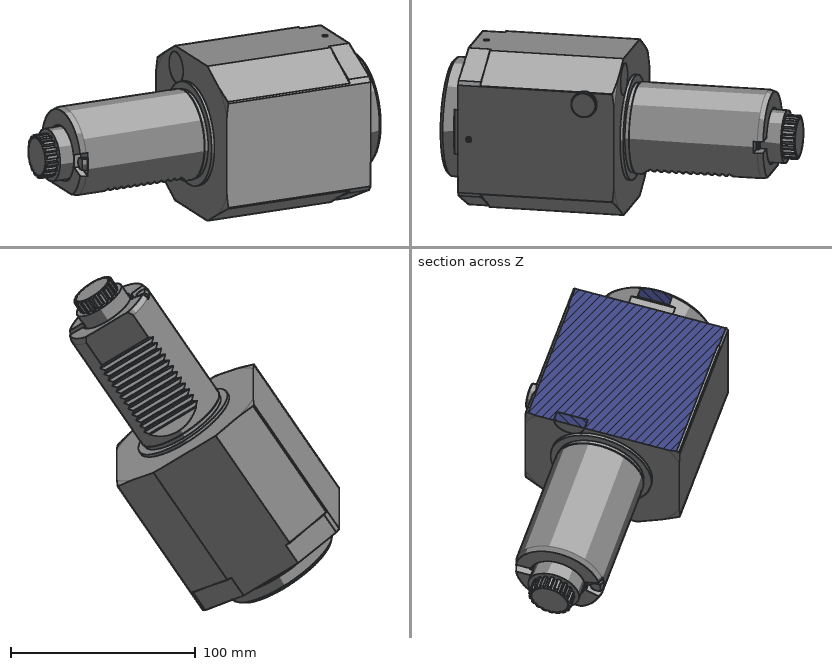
import cadquery as cq
import math


BLOCK_HEIGHT = 88.0
LEFT_FACE_X = -43.6
RIGHT_FACE_X = 44.0
BLOCK_LENGTH = 86.5
TURNED_RADIUS = 53.0
FRONT_TURNED_RADIUS = 49.2
FRONT_TAPER_LENGTH = 0.87
BODY_FLAT_HALF = 20.0
BODY_SLOPE = 30.0
REAR_FLAT_HALF = 17.5
REAR_SLOPE = 25.4
REAR_BAND_LENGTH = 12.3

PORT_DIAMETER = 1.7
PORT_SINK_DIAMETER = 3.0
PORT_DEPTH = 3.8
PORT_Y = 80.5

COLLAR_DIAMETER = 57.3
COLLAR_LENGTH = 1.7
NECK_RADIUS = 24.5
NECK_END = 4.0
SHANK_DIAMETER = 50.0
SHANK_LENGTH = 78.2
SHANK_TIP_RADIUS = 24.0
SHANK_TAPER_LENGTH = 3.0

FLAT_DEPTH_Z = 20.0
RAMP_START = 6.7
TOOTH_PITCH = 4.0
TOOTH_GROOVES = 12
TOOTH_GROOVE_DEPTH = 1.7
FIRST_TOOTH_GROOVE = 14.0

SEAT_DIAMETER = 30.8
SEAT_DEPTH = 3.7
SLOT_WIDTH = 6.3
SLOT_DEPTH = 5.2
SLOT_STEP_X = 17.7
SLOT_STEP_CHAMFER = 0.5
WEDGE_INNER_X = 16.0
WEDGE_INNER_HALF = 3.7
WEDGE_ANGLE = 20.0
WEDGE_DEPTH = 4.0

PIN_WIDTH = 6.3
PIN_X = 21.3
PIN_SETBACK = 1.2
PIN_END_RADIUS = 23.6
PIN_BEVEL_LENGTH = 2.3

SPINDLE_DIAMETER = 28.8
SPINDLE_LENGTH = 7.7
SPLINE_LENGTH = 7.1
SPLINE_ROOT_RADIUS = 10.4
SPLINE_TIP_RADIUS = 12.0
SPLINE_TEETH = 18
SPLINE_ROOT_WIDTH = 2.3
SPLINE_TIP_WIDTH = 1.7
SPLINE_START_ANGLE = 93.0
SPLINE_CHAMFER = 0.5

NUT_DIAMETER = 65.0
NUT_LENGTH = 12.7
NUT_CHAMFER = 1.7
NUT_FLAT_DISTANCE = 30.0
NUT_FLAT_LENGTH = 5.0

FRONT_PLUG_DIAMETER = 17.3
FRONT_PLUG_X = -18.6
FRONT_PLUG_Z = 32.1
FRONT_PLUG_DEPTH = 5.8
SIDE_PLUG_DIAMETER = 13.8
SIDE_PLUG_Y = 16.3
SIDE_PLUG_Z = 24.0
SIDE_PLUG_PROTRUSION = 2.7
SIDE_PLUG_DEPTH = 5.8
SIDE_PLUG_CHAMFER = 0.4

BLOCK_HALF = BLOCK_HEIGHT / 2
SHANK_RADIUS = SHANK_DIAMETER / 2
SHANK_END_Y = -SHANK_LENGTH
SEAT_Y = SHANK_END_Y + SEAT_DEPTH
SLOT_FLOOR_Y = SHANK_END_Y + SLOT_DEPTH
WEDGE_FLOOR_Y = SHANK_END_Y + WEDGE_DEPTH
SPINDLE_END_Y = SHANK_END_Y - SPINDLE_LENGTH


def cylinder_along_y(diameter, y_start, y_end, x=0, z=0):
    """Cylinder between two Y positions."""
    base = cq.Workplane("XZ", origin=(x, y_start, z))
    return base.circle(diameter / 2).extrude(y_start - y_end)


def turned(profile):
    """Solid turned about Y from (radius, y) points."""
    return cq.Workplane("XY").polyline(profile).close().revolve(360, (0, 0, 0), (0, 1, 0))


def prism(outline, y_start, y_end):
    """Prism between two Y positions from an (x, z) outline."""
    base = cq.Workplane("XZ", origin=(0, y_start, 0))
    return base.polyline(outline).close().extrude(y_start - y_end)


def sloped_block(flat_half, slope, y_start, y_end):
    """Block with its four long corners cut by sloped planes."""
    fall = math.tan(math.radians(slope))
    left_z = BLOCK_HALF - (-LEFT_FACE_X - flat_half) * fall
    right_z = BLOCK_HALF - (RIGHT_FACE_X - flat_half) * fall
    outline = [
        (flat_half, BLOCK_HALF), (RIGHT_FACE_X, right_z),
        (RIGHT_FACE_X, -right_z), (flat_half, -BLOCK_HALF),
        (-flat_half, -BLOCK_HALF), (LEFT_FACE_X, -left_z),
        (LEFT_FACE_X, left_z), (-flat_half, BLOCK_HALF),
    ]
    return prism(outline, y_start, y_end)


def make_block():
    rear_band_y = BLOCK_LENGTH - REAR_BAND_LENGTH
    body = sloped_block(BODY_FLAT_HALF, BODY_SLOPE, 0, rear_band_y)
    rear = sloped_block(REAR_FLAT_HALF, REAR_SLOPE, rear_band_y, BLOCK_LENGTH)
    turning = turned([
        (0, 0), (FRONT_TURNED_RADIUS, 0), (TURNED_RADIUS, FRONT_TAPER_LENGTH),
        (TURNED_RADIUS, BLOCK_LENGTH), (0, BLOCK_LENGTH),
    ])
    return body.union(rear).intersect(turning)


def port_cutter(face_distance):
    """Countersunk hole going down from a face at the given height above the axis."""
    sink_radius = PORT_SINK_DIAMETER / 2
    hole_radius = PORT_DIAMETER / 2
    sink_z = face_distance - (sink_radius - hole_radius)
    floor_z = face_distance - PORT_DEPTH
    profile = [
        (0, face_distance), (sink_radius, face_distance), (hole_radius, sink_z),
        (hole_radius, floor_z), (0, floor_z),
    ]
    plane = cq.Workplane("XZ", origin=(0, PORT_Y, 0))
    return plane.polyline(profile).close().revolve(360, (0, 0, 0), (0, 1, 0))


def cut_ports(block):
    top_port = port_cutter(BLOCK_HALF)
    side_port = port_cutter(-LEFT_FACE_X).rotate((0, 0, 0), (0, 1, 0), -90)
    return block.cut(top_port).cut(side_port)


def make_shank():
    return turned([
        (0, 0), (COLLAR_DIAMETER / 2, 0), (COLLAR_DIAMETER / 2, -COLLAR_LENGTH),
        (NECK_RADIUS, -COLLAR_LENGTH), (NECK_RADIUS, -NECK_END), (SHANK_RADIUS, -NECK_END),
        (SHANK_RADIUS, SHANK_END_Y + SHANK_TAPER_LENGTH), (SHANK_TIP_RADIUS, SHANK_END_Y),
        (0, SHANK_END_Y),
    ])


def cut_toothed_flat(shank):
    """Flat under the shank with a 45 degree run-in and a row of 90 degree V grooves."""
    ramp_length = SHANK_RADIUS - FLAT_DEPTH_Z
    outline = [(-RAMP_START, -SHANK_RADIUS), (-RAMP_START - ramp_length, -FLAT_DEPTH_Z)]
    for index in range(TOOTH_GROOVES):
        apex_y = -FIRST_TOOTH_GROOVE - index * TOOTH_PITCH
        outline.append((apex_y + TOOTH_GROOVE_DEPTH, -FLAT_DEPTH_Z))
        outline.append((apex_y, -FLAT_DEPTH_Z + TOOTH_GROOVE_DEPTH))
        outline.append((apex_y - TOOTH_GROOVE_DEPTH, -FLAT_DEPTH_Z))
    outline += [(SHANK_END_Y, -FLAT_DEPTH_Z), (SHANK_END_Y, -SHANK_RADIUS)]
    plane = cq.Workplane("YZ")
    return shank.cut(plane.polyline(outline).close().extrude(SHANK_RADIUS, both=True))


def cut_end_notches(shank):
    """Spindle seat, stepped slot on the -X side and wedge-shaped pin notch on the +X side."""
    seat = cylinder_along_y(SEAT_DIAMETER, SHANK_END_Y, SEAT_Y)
    slot_outline = [
        (0, SHANK_END_Y), (-SHANK_RADIUS, SHANK_END_Y), (-SHANK_RADIUS, SLOT_FLOOR_Y),
        (-SLOT_STEP_X, SLOT_FLOOR_Y), (-SLOT_STEP_X, SEAT_Y + SLOT_STEP_CHAMFER),
        (-SLOT_STEP_X + SLOT_STEP_CHAMFER, SEAT_Y), (0, SEAT_Y),
    ]
    slot = cq.Workplane("XY").polyline(slot_outline).close().extrude(SLOT_WIDTH / 2, both=True)
    spread = (SHANK_RADIUS - WEDGE_INNER_X) * math.tan(math.radians(WEDGE_ANGLE))
    outer_half = WEDGE_INNER_HALF + spread
    wedge = prism(
        [(WEDGE_INNER_X, -WEDGE_INNER_HALF), (SHANK_RADIUS, -outer_half),
         (SHANK_RADIUS, outer_half), (WEDGE_INNER_X, WEDGE_INNER_HALF)],
        SHANK_END_Y, WEDGE_FLOOR_Y,
    )
    return shank.cut(seat).cut(slot).cut(wedge)


def make_front_plug():
    """Plug flush with the front face of the block."""
    return cylinder_along_y(FRONT_PLUG_DIAMETER, 0, FRONT_PLUG_DEPTH, x=FRONT_PLUG_X, z=FRONT_PLUG_Z)


def make_side_plug():
    """Plug standing out of the -X face of the block."""
    base = cq.Workplane("YZ", origin=(LEFT_FACE_X - SIDE_PLUG_PROTRUSION, SIDE_PLUG_Y, SIDE_PLUG_Z))
    plug = base.circle(SIDE_PLUG_DIAMETER / 2).extrude(SIDE_PLUG_PROTRUSION + SIDE_PLUG_DEPTH)
    return plug.faces("<X").chamfer(SIDE_PLUG_CHAMFER)


def make_housing(plugs):
    block = cut_ports(make_block())
    for plug in plugs:
        block = block.cut(plug)
    shank = cut_end_notches(cut_toothed_flat(make_shank()))
    return block.union(shank)


def make_pin():
    """Pin standing on the floor of the wedge notch, flush with the shank surface and bevelled."""
    end_y = SHANK_END_Y + PIN_SETBACK
    half = PIN_WIDTH / 2
    round_side = cylinder_along_y(PIN_WIDTH, end_y, WEDGE_FLOOR_Y, x=PIN_X)
    straight_side = prism(
        [(PIN_X, -half), (SHANK_RADIUS, -half), (SHANK_RADIUS, half), (PIN_X, half)],
        end_y, WEDGE_FLOOR_Y,
    )
    envelope = turned([
        (0, end_y), (PIN_END_RADIUS, end_y), (SHANK_RADIUS, end_y + PIN_BEVEL_LENGTH),
        (SHANK_RADIUS, WEDGE_FLOOR_Y), (0, WEDGE_FLOOR_Y),
    ])
    return round_side.union(straight_side).intersect(envelope)


def make_spindle():
    tip_y = SPINDLE_END_Y - SPLINE_LENGTH
    journal = cylinder_along_y(SPINDLE_DIAMETER, SPINDLE_END_Y, SEAT_Y)
    spline = cylinder_along_y(2 * SPLINE_ROOT_RADIUS, tip_y, SPINDLE_END_Y)
    root_half = SPLINE_ROOT_WIDTH / 2
    tip_half = SPLINE_TIP_WIDTH / 2
    tooth = prism(
        [(0, -root_half), (SPLINE_ROOT_RADIUS, -root_half), (SPLINE_TIP_RADIUS, -tip_half),
         (SPLINE_TIP_RADIUS, tip_half), (SPLINE_ROOT_RADIUS, root_half), (0, root_half)],
        tip_y, SPINDLE_END_Y,
    )
    for index in range(SPLINE_TEETH):
        angle = SPLINE_START_ANGLE + index * 360 / SPLINE_TEETH
        spline = spline.union(tooth.rotate((0, 0, 0), (0, 1, 0), -angle))
    envelope = turned([
        (0, SPINDLE_END_Y), (SPLINE_TIP_RADIUS, SPINDLE_END_Y),
        (SPLINE_TIP_RADIUS, tip_y + SPLINE_CHAMFER), (SPLINE_ROOT_RADIUS, tip_y), (0, tip_y),
    ])
    return journal.union(spline.intersect(envelope))


def make_nut():
    """Round nut with four flats next to the block and a chamfered rear edge."""
    rear_y = BLOCK_LENGTH + NUT_LENGTH
    flats_end_y = BLOCK_LENGTH + NUT_FLAT_LENGTH
    nut = cylinder_along_y(NUT_DIAMETER, BLOCK_LENGTH, rear_y).faces(">Y").chamfer(NUT_CHAMFER)
    radius = NUT_DIAMETER / 2
    flat = prism(
        [(NUT_FLAT_DISTANCE, -radius), (radius, -radius), (radius, radius), (NUT_FLAT_DISTANCE, radius)],
        BLOCK_LENGTH, flats_end_y,
    )
    for quarter in range(4):
        nut = nut.cut(flat.rotate((0, 0, 0), (0, 1, 0), 90 * quarter))
    return nut


front_plug = make_front_plug()
side_plug = make_side_plug()
housing = make_housing([front_plug, side_plug])
pin = make_pin()
spindle = make_spindle()
nut = make_nut()

result = cq.Compound.makeCompound([
    housing.val(), front_plug.val(), side_plug.val(), pin.val(), spindle.val(), nut.val(),
])